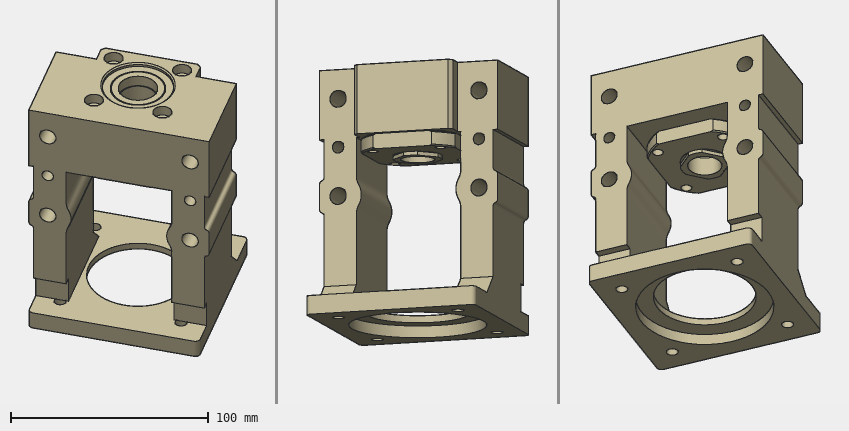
import cadquery as cq

height = 131.0
head_width = 95.0
head_height = 35.6
head_bottom = height - head_height
front_y = -35.0
back_y = 15.0
frame_depth = back_y - front_y

base_size = 90.0
base_thickness = 9.7
base_corner_radius = 2.6
base_opening_diameter = 52.0
pilot_diameter = 70.0
pilot_depth = 6.0
base_hole_diameter = 6.0
base_hole_spacing = 63.7

tab_width = 52.4
tab_back_y = 25.0
tab_chamfer = 2.0

leg_outer_x = base_size / 2
leg_inner_x = 27.8
foot_reach = tab_back_y - back_y
notch_depth = 4.2
notch_top = 24.0

cross_hole_spacing = 74.9
mount_hole_diameter = 8.6
pin_hole_diameter = 6.0
upper_mount_z = height - 15.0
pin_z = height - 40.0
lower_mount_z = height - 65.1

outer_pad_x = head_width / 2
outer_pad_half_flat = 6.3
outer_pad_half_length = 10.0
outer_blend_share = 0.55
inner_bump_x = 25.2
inner_bump_half_length = 9.8
inner_arc_share = 0.54

recess_depth = 2.0
mouth_chamfer = 0.8
seal_radius = 18.1
seal_bore_radius = 14.0
collar_length = 6.0
upper_collar_radius = 13.5
upper_collar_bore_radius = 10.0
bearing_radius = 20.0
bearing_bore_radius = 9.5
seal_top = height - recess_depth
bearing_top = seal_top - collar_length

flange_width = 50.0
flange_corner_radius = 29.5
flange_gap = 0.5
flange_thickness = 7.7
flange_chamfer = 0.7
flange_top = head_bottom - flange_gap
flange_bottom = flange_top - flange_thickness
lower_collar_radius = 12.5
lower_collar_bore_radius = 8.6
lower_collar_projection = 2.0
lower_collar_flats = 22.0

screw_spacing = 36.0
screw_hole_diameter = 5.5
screw_head_diameter = 9.5
screw_head_depth = 5.5


def cylinder(radius, bottom, top):
    return cq.Workplane("XY").workplane(offset=bottom).circle(radius).extrude(top - bottom)


def ring(outer_radius, inner_radius, bottom, top):
    return cylinder(outer_radius, bottom, top).cut(cylinder(inner_radius, bottom, top))


def block(width, y_start, y_end, bottom, top):
    """Box centred on X, between two Y positions and two heights."""
    size_y = y_end - y_start
    return (
        cq.Workplane("XY").workplane(offset=bottom)
        .center(0, (y_start + y_end) / 2).rect(width, size_y).extrude(top - bottom)
    )


def square_pattern(spacing, diameter, bottom, top):
    """Four vertical cylinders on the corners of a square."""
    return (
        cq.Workplane("XY").workplane(offset=bottom)
        .rect(spacing, spacing, forConstruction=True).vertices()
        .circle(diameter / 2).extrude(top - bottom)
    )


def make_base():
    base = block(base_size, -base_size / 2, base_size / 2, 0, base_thickness)
    base = base.edges("|Z").fillet(base_corner_radius)
    base = base.cut(cylinder(base_opening_diameter / 2, 0, base_thickness))
    base = base.cut(cylinder(pilot_diameter / 2, 0, pilot_depth))
    return base.cut(square_pattern(base_hole_spacing, base_hole_diameter, 0, base_thickness))


def make_head():
    head = block(head_width, front_y, back_y, head_bottom, height)
    tab = block(tab_width, front_y, tab_back_y, head_bottom, height)
    tab = tab.edges("|Z and >Y").chamfer(tab_chamfer)
    return head.union(tab)


def make_right_leg():
    """Leg on the +X side, thickened by tangent arcs around its lower mounting hole."""
    mid_z = lower_mount_z
    outer_rise = outer_pad_x - leg_outer_x
    blend_x = outer_pad_x - outer_blend_share * outer_rise
    blend_dz = outer_pad_half_flat + outer_blend_share * (outer_pad_half_length - outer_pad_half_flat)
    inner_arc_x = inner_bump_x + inner_arc_share * (leg_inner_x - inner_bump_x)
    inner_arc_dz = inner_arc_share * inner_bump_half_length
    leg = (
        cq.Workplane("XZ", origin=(0, back_y, 0))
        .moveTo(leg_inner_x, 0)
        .lineTo(leg_outer_x, 0)
        .lineTo(leg_outer_x, mid_z - outer_pad_half_length)
        .tangentArcPoint((blend_x, mid_z - blend_dz), relative=False)
        .tangentArcPoint((outer_pad_x, mid_z - outer_pad_half_flat), relative=False)
        .lineTo(outer_pad_x, mid_z + outer_pad_half_flat)
        .tangentArcPoint((blend_x, mid_z + blend_dz), relative=False)
        .tangentArcPoint((leg_outer_x, mid_z + outer_pad_half_length), relative=False)
        .lineTo(leg_outer_x, head_bottom)
        .lineTo(leg_inner_x, head_bottom)
        .lineTo(leg_inner_x, mid_z + inner_bump_half_length)
        .tangentArcPoint((inner_arc_x, mid_z + inner_arc_dz), relative=False)
        .tangentArcPoint((inner_arc_x, mid_z - inner_arc_dz), relative=False)
        .tangentArcPoint((leg_inner_x, mid_z - inner_bump_half_length), relative=False)
        .close()
        .extrude(frame_depth)
    )
    foot = (
        cq.Workplane("YZ", origin=(leg_inner_x, 0, 0))
        .moveTo(back_y, base_thickness)
        .lineTo(back_y + foot_reach, base_thickness)
        .lineTo(back_y, base_thickness + foot_reach)
        .close()
        .extrude(leg_outer_x - leg_inner_x)
    )
    below_notch = block(head_width, front_y, front_y + notch_depth, 0, notch_top)
    below_base_top = block(head_width, front_y, back_y, 0, base_thickness)
    return leg.cut(below_notch).cut(below_base_top).union(foot)


def make_cross_holes():
    holes = cq.Workplane("XY")
    rows = [
        (upper_mount_z, mount_hole_diameter),
        (pin_z, pin_hole_diameter),
        (lower_mount_z, mount_hole_diameter),
    ]
    for z, diameter in rows:
        row = (
            cq.Workplane("XZ", origin=(0, back_y, z))
            .rarray(cross_hole_spacing, 1.3, 2, 1)
            .circle(diameter / 2).extrude(frame_depth)
        )
        holes = holes.add(row)
    return holes.combine()


def make_bearing_seat():
    """Space for the seal and the bearing, with a chamfered mouth."""
    seat = cylinder(seal_radius, bearing_top, height)
    seat = seat.union(cylinder(bearing_radius, head_bottom, bearing_top))
    mouth = (
        cq.Workplane("XY").workplane(offset=height)
        .circle(seal_radius + mouth_chamfer)
        .workplane(offset=-mouth_chamfer)
        .circle(seal_radius).loft()
    )
    return seat.union(mouth)


def make_housing():
    leg = make_right_leg()
    housing = make_base().union(make_head()).union(leg).union(leg.mirror("YZ"))
    housing = housing.cut(make_cross_holes()).cut(make_bearing_seat())
    housing = housing.cut(square_pattern(screw_spacing, screw_hole_diameter, head_bottom, height))
    return housing.cut(
        square_pattern(screw_spacing, screw_head_diameter, height - screw_head_depth, height)
    )


def make_flange():
    """Chamfered disc trimmed to a square, so only its four round corners keep the chamfer."""
    half_width = flange_width / 2
    flange = cylinder(flange_corner_radius, flange_bottom, flange_top)
    flange = flange.faces("<Z or >Z").chamfer(flange_chamfer)
    flange = flange.intersect(block(flange_width, -half_width, half_width, flange_bottom, flange_top))
    flange = flange.cut(cylinder(lower_collar_radius, flange_bottom, flange_top))
    return flange.cut(
        square_pattern(screw_spacing, screw_hole_diameter, flange_bottom, flange_top)
    )


def make_lower_collar():
    """Collar whose projecting end has four flats at 45 degrees to X and Y."""
    end_z = flange_bottom - lower_collar_projection
    sleeve = cylinder(lower_collar_radius, flange_bottom, head_bottom)
    flats = (
        cq.Workplane("XY").workplane(offset=end_z)
        .transformed(rotate=(0, 0, 45))
        .rect(lower_collar_flats, lower_collar_flats)
        .extrude(lower_collar_projection)
    )
    end = cylinder(lower_collar_radius, end_z, flange_bottom).intersect(flats)
    return sleeve.union(end).cut(cylinder(lower_collar_bore_radius, end_z, head_bottom))


housing = make_housing()
seal = ring(seal_radius, seal_bore_radius, bearing_top, seal_top)
upper_collar = ring(upper_collar_radius, upper_collar_bore_radius, bearing_top, seal_top)
bearing = ring(bearing_radius, bearing_bore_radius, head_bottom, bearing_top)
flange = make_flange()
lower_collar = make_lower_collar()

result = cq.Compound.makeCompound([
    housing.val(),
    seal.val(),
    upper_collar.val(),
    bearing.val(),
    flange.val(),
    lower_collar.val(),
])